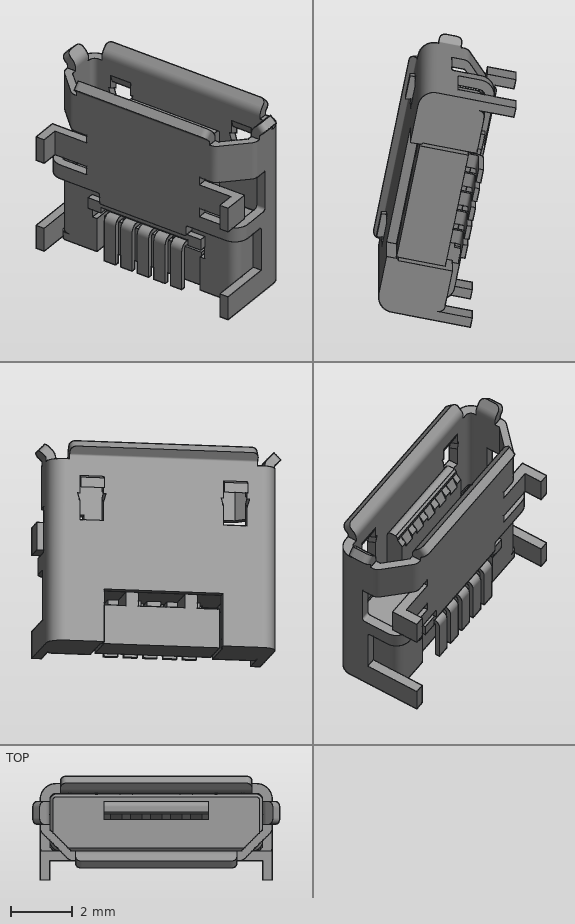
import cadquery as cq
import math


sheet = 0.32
half_width = 3.76
depth = 2.5
rim_z = 6.0
overall_height = 6.6
bend_radius = 0.52
inner_bend_radius = bend_radius - sheet
corner_cut = 0.97
inner_corner_cut = 0.69
corner_cut_bend = 0.32
inner_half_width = half_width - sheet
inner_back = depth - sheet

lip_overhang = 0.24
lip_bend_radius = 0.08
lip_corner_radius = 0.2
front_lip_width = 5.22
back_lip_width = 6.19
ear_width = 0.74
ear_y = 1.55

window_bottom = 3.08
window_top = 4.6
window_back = 1.5
window_fillet = 0.1
arm_bottom = 3.4
arm_top = 4.31
arm_root = 2.21
lower_window_top = 2.54
lower_window_back = 1.29
lower_leg_top = 0.89
leg_reach = 0.62

tab_half_width = 1.7
tab_bottom = 2.14
tab_fillet = 0.06
latch_inner = 1.98
latch_outer = 2.75
latch_bottom = 4.0
latch_top = 5.54
latch_slope = 0.52
latch_projection = 0.17
latch_height = 0.32
latch_base_z = 5.14
latch_bend_y = 2.28
relief_width = 0.08
relief_height = 0.24
relief_top = 5.05

housing_top = 2.48
housing_back_gap = 0.02
housing_back = inner_back - housing_back_gap
housing_chamfer = 0.1
housing_corner_radius = 0.32
foot_height = 0.29
flange_half_width = 2.21
flange_front = 0.09
flange_bottom = 1.74
flange_recess_top = 1.94
tunnel_half_width = 1.95
tunnel_mouth_half_width = 2.19
slit_mouth_half_width = 2.02
plate_half_width = 1.9
plate_front = 0.58
plate_top = 1.28
strip_width = 0.4

pin_count = 5
pin_pitch = 0.65
pin_width = 0.45
pin_thickness = 0.16
pin_bend_radius = 0.26
pin_back = 0.8
contact_width = 0.38
contact_top = 5.06
contact_shoulder_y = 1.42
contact_shoulder_z = 4.86
contact_front_z = 4.68
tongue_front = 1.34
tongue_core_front = 1.51
tongue_back = 1.92
tongue_crest_front = 1.58
tongue_back_round = 0.18
tongue_top = 5.24
tongue_shoulder_z = 5.16
rib_back_z = 5.06
rib_front_z = 4.85


def block(x0, x1, y0, y1, z0, z1):
    """Box between two opposite corners."""
    return cq.Workplane("XY").box(x1 - x0, y1 - y0, z1 - z0, centered=False).translate((x0, y0, z0))


def centred_block(half_x, y0, y1, z0, z1):
    return block(-half_x, half_x, y0, y1, z0, z1)


def both_sides(shape):
    """The shape together with its mirror image across X = 0."""
    return shape.union(shape.mirror("YZ"))


def side_profile(points, x0, width):
    """Closed (Y, Z) polygon extruded along +X from x0."""
    return cq.Workplane("YZ", origin=(x0, 0, 0)).polyline(points).close().extrude(width)


def lower_shell():
    outer = centred_block(half_width, 0, depth, 0, window_top).edges("|Z").fillet(bend_radius)
    inner = centred_block(inner_half_width, sheet, inner_back, 0, window_top)
    return outer.cut(inner.edges("|Z").fillet(inner_bend_radius))


def upper_shell():
    """Mouth of the shell, with flat diagonal corners at the front."""
    outer = centred_block(half_width, 0, depth, window_top, rim_z)
    outer = outer.edges("|Z and >Y").fillet(bend_radius)
    outer = outer.edges("|Z and <Y").chamfer(corner_cut)
    mid_z = (window_top + rim_z) / 2
    for x_side in (-1, 1):
        for x, y in ((half_width, corner_cut), (half_width - corner_cut, 0)):
            corner = cq.selectors.NearestToPointSelector((x_side * x, y, mid_z))
            outer = outer.edges(corner).fillet(corner_cut_bend)
    inner = centred_block(inner_half_width, sheet, inner_back, window_top, rim_z)
    inner = inner.edges("|Z and >Y").fillet(inner_bend_radius)
    inner = inner.edges("|Z and <Y").chamfer(inner_corner_cut)
    return outer.cut(inner)


def lip(width):
    """Flared lip facing -Y, its outer face on Y = 0, bent outward by 45 degrees."""
    cos45 = math.sqrt(0.5)
    tip_rise = sheet * cos45
    r_out = lip_bend_radius
    r_in = lip_bend_radius + sheet
    tip_z = overall_height - tip_rise
    bend_z = tip_z - lip_overhang - r_out * (2 * cos45 - 1)

    def on_bend(radius, angle):
        return (radius * math.cos(angle) - r_out, bend_z + radius * math.sin(angle))

    mid, end = math.pi / 8, math.pi / 4
    profile = (
        cq.Workplane("YZ", origin=(-width / 2, 0, 0))
        .moveTo(0, rim_z)
        .lineTo(0, bend_z)
        .threePointArc(on_bend(r_out, mid), on_bend(r_out, end))
        .lineTo(-lip_overhang, tip_z)
        .lineTo(-lip_overhang + tip_rise, overall_height)
        .lineTo(*on_bend(r_in, end))
        .threePointArc(on_bend(r_in, mid), (sheet, bend_z))
        .lineTo(sheet, rim_z)
        .close()
        .extrude(width)
    )
    tip_edges = cq.selectors.ParallelDirSelector(cq.Vector(0, 1, 1))
    return profile.edges(tip_edges).fillet(lip_corner_radius)


def rim_lips():
    z_axis = ((0, 0, 0), (0, 0, 1))
    front = lip(front_lip_width)
    back = lip(back_lip_width).rotate(*z_axis, 180).translate((0, depth, 0))
    ear = lip(ear_width).rotate(*z_axis, -90).translate((-half_width, ear_y, 0))
    return front.union(back).union(both_sides(ear))


def side_openings():
    beyond = half_width + 0.08
    window = block(arm_root, beyond, -0.08, window_back, window_bottom, window_top)
    window = window.edges("|X and >Y and <Z").fillet(window_fillet)
    lower = block(tab_half_width, beyond, -0.08, lower_window_back, 0, lower_window_top)
    lower = lower.edges("|X and >Y and >Z").fillet(window_fillet)
    lower = lower.edges("|Y and <X and >Z").fillet(tab_fillet)
    return both_sides(window.union(lower))


def solder_legs():
    arm = block(arm_root, half_width, 0, sheet, arm_bottom, arm_top)
    upper_leg = block(inner_half_width, half_width, -leg_reach, sheet, arm_bottom, arm_top)
    lower_leg = block(inner_half_width, half_width, -leg_reach, lower_window_back, 0, lower_leg_top)
    return both_sides(arm.union(upper_leg).union(lower_leg))


def latch_windows():
    return both_sides(block(latch_inner, latch_outer, inner_back, depth, latch_bottom, latch_top))


def latch_reliefs():
    """Tapered notches in both edges of each latch window, sloping down and outward."""
    outline = [
        (latch_inner - relief_width, 0),
        (latch_outer + relief_width, 0),
        (latch_outer, relief_height),
        (latch_inner, relief_height),
    ]
    downward_tilt = cq.Plane(
        origin=(0, inner_back, relief_top), xDir=(1, 0, 0), normal=(0, 1, -latch_slope)
    )
    return both_sides(cq.Workplane(downward_tilt).polyline(outline).close().extrude(2 * sheet, both=True))


def latches():
    """Short fingers bent outward from the top edge of each latch window."""
    y_tip = depth + latch_projection
    z_tip = latch_base_z - latch_slope * latch_projection
    z_bend = latch_base_z + latch_slope * (depth - latch_bend_y)
    points = [
        (inner_back, latch_top),
        (latch_bend_y, z_bend),
        (y_tip, z_tip),
        (y_tip, z_tip + latch_height),
        (depth, latch_base_z + latch_height),
        (depth, latch_top),
    ]
    return both_sides(side_profile(points, latch_inner, latch_outer - latch_inner))


def shell():
    body = lower_shell().union(upper_shell())
    body = body.cut(side_openings())
    body = body.cut(centred_block(tab_half_width, 0, sheet, 0, tab_bottom))
    for x in (-tab_half_width, tab_half_width):
        tab_corner = cq.selectors.NearestToPointSelector((x, sheet / 2, tab_bottom))
        body = body.edges(tab_corner).fillet(tab_fillet)
    body = body.cut(centred_block(tunnel_half_width, inner_back, depth, 0, flange_bottom))
    body = body.cut(latch_windows()).cut(latch_reliefs())
    return body.union(solder_legs()).union(rim_lips()).union(latches())


def tunnel(mouth, z0, z1):
    """Passage through the housing that narrows at its back end to the tunnel width."""
    half_outline = [
        (0, sheet),
        (mouth, sheet),
        (mouth, housing_back - (mouth - tunnel_half_width)),
        (tunnel_half_width, housing_back),
        (tunnel_half_width, inner_back),
        (0, inner_back),
    ]
    half = cq.Workplane("XY", origin=(0, 0, z0)).polyline(half_outline).close().extrude(z1 - z0)
    return both_sides(half)


def housing():
    body = centred_block(inner_half_width, sheet, housing_back, 0, housing_top)
    body = body.edges("|Z and <Y").fillet(housing_corner_radius)
    body = body.edges("|Z and >Y").fillet(inner_bend_radius)
    body = body.faces(">Z").chamfer(housing_chamfer)
    foot = centred_block(inner_half_width, sheet, inner_back, 0, foot_height)
    body = body.union(foot.edges("|Z").fillet(inner_bend_radius))
    body = body.cut(tunnel(tunnel_mouth_half_width, plate_top, flange_bottom))
    body = body.cut(tunnel(slit_mouth_half_width, 0, plate_top))
    body = body.union(centred_block(plate_half_width, plate_front, inner_back, 0, plate_top))
    strip_x = 1.5 * pin_pitch - strip_width / 2
    strip = block(strip_x, strip_x + strip_width, plate_front, inner_back, plate_top, flange_bottom)
    body = body.union(both_sides(strip))
    flange = centred_block(flange_half_width, flange_front, sheet, flange_bottom, tab_bottom)
    recess = centred_block(tab_half_width, flange_front, sheet, flange_bottom, flange_recess_top)
    return body.union(flange.cut(recess))


def pin_positions():
    return [(i - (pin_count - 1) / 2) * pin_pitch for i in range(pin_count)]


def tongue():
    """Contact carrier: a stepped blade with contacts set between ribs along its front."""
    width = 2 * tab_half_width
    core_points = [
        (tongue_core_front, housing_top),
        (tongue_core_front, tongue_shoulder_z),
        (tongue_crest_front, tongue_top),
        (tongue_back, tongue_top),
        (tongue_back, housing_top),
    ]
    rib_points = [
        (tongue_front, housing_top),
        (tongue_front, rib_front_z),
        (tongue_core_front, rib_back_z),
        (tongue_core_front, housing_top),
    ]
    contact_points = [
        (tongue_front, housing_top),
        (tongue_front, contact_front_z),
        (contact_shoulder_y, contact_shoulder_z),
        (tongue_core_front, contact_top),
        (tongue_core_front, housing_top),
    ]
    core = side_profile(core_points, -tab_half_width, width)
    core = core.edges("|X and >Y and >Z").fillet(tongue_back_round)
    ribs = side_profile(rib_points, -tab_half_width, width)
    for x in pin_positions():
        x0 = x - contact_width / 2
        x1 = x0 + contact_width
        ribs = ribs.cut(block(x0, x1, tongue_front, tongue_core_front, housing_top, tongue_top))
        core = core.union(side_profile(contact_points, x0, contact_width))
    return core.union(ribs)


def pin(x):
    """Solder tail that leaves the housing forward and bends straight down."""
    x0 = x - pin_width / 2
    horizontal = block(x0, x0 + pin_width, 0, pin_back, flange_bottom - pin_thickness, flange_bottom)
    vertical = block(x0, x0 + pin_width, 0, pin_thickness, 0, flange_bottom)
    tail = horizontal.union(vertical).edges("|X and <Y and >Z").fillet(pin_bend_radius)
    inner_corner = cq.selectors.NearestToPointSelector((x, pin_thickness, flange_bottom - pin_thickness))
    return tail.edges(inner_corner).fillet(pin_bend_radius - pin_thickness)


result = shell().union(housing()).union(tongue())
for pin_x in pin_positions():
    result = result.union(pin(pin_x))